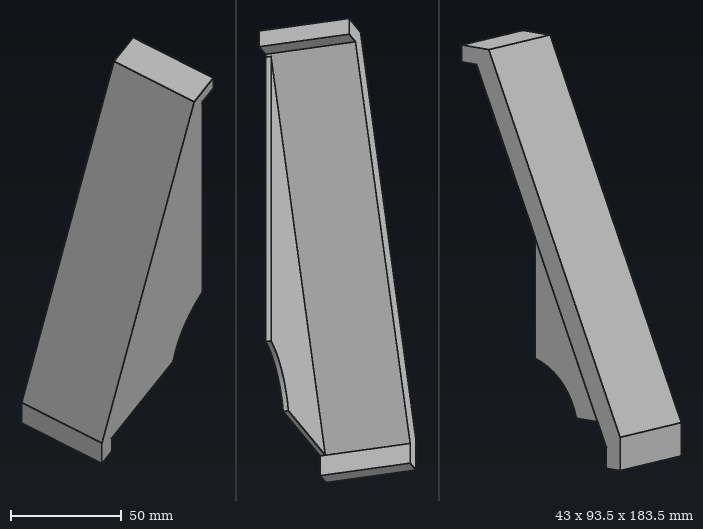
import cadquery as cq
import math

width = 43.0
depth = 93.5
height = 183.5

top_flange_depth = 16.1
top_flange_thickness = 7.9
foot_height = 15.5
foot_thickness = 8.3
foot_inner_height = 9.7
underside_top_depth = 84.8

web_thickness = 2.5
web_back = 84.2
notch_radius = 33.0
notch_reach = 24.2

top_flange_bottom = height - top_flange_thickness
plate_underside_top = (underside_top_depth, top_flange_bottom)
plate_underside_bottom = (foot_thickness, foot_inner_height)


def make_plate():
    """Sloping plate and flanges, extruded toward -X from the +X side."""
    profile = (
        cq.Workplane("YZ", origin=(width / 2, 0, 0))
        .moveTo(0, 0)
        .lineTo(foot_thickness, 0)
        .lineTo(*plate_underside_bottom)
        .lineTo(*plate_underside_top)
        .lineTo(depth, top_flange_bottom)
        .lineTo(depth, height)
        .lineTo(depth - top_flange_depth, height)
        .lineTo(0, foot_height)
        .close()
    )
    return profile.extrude(-width)


def make_web():
    """Triangular web with a concave round notch at its square corner."""
    half_chord = notch_reach / math.sqrt(2)
    sagitta = notch_radius - math.sqrt(notch_radius**2 - half_chord**2)
    notch_middle = (notch_reach / 2) + sagitta / math.sqrt(2)
    profile = (
        cq.Workplane("YZ", origin=(width / 2, 0, 0))
        .moveTo(*plate_underside_bottom)
        .lineTo(web_back - notch_reach, foot_inner_height)
        .threePointArc(
            (web_back - notch_middle, foot_inner_height + notch_middle),
            (web_back, foot_inner_height + notch_reach),
        )
        .lineTo(web_back, top_flange_bottom)
        .close()
    )
    return profile.extrude(-web_thickness)


result = make_plate().union(make_web())